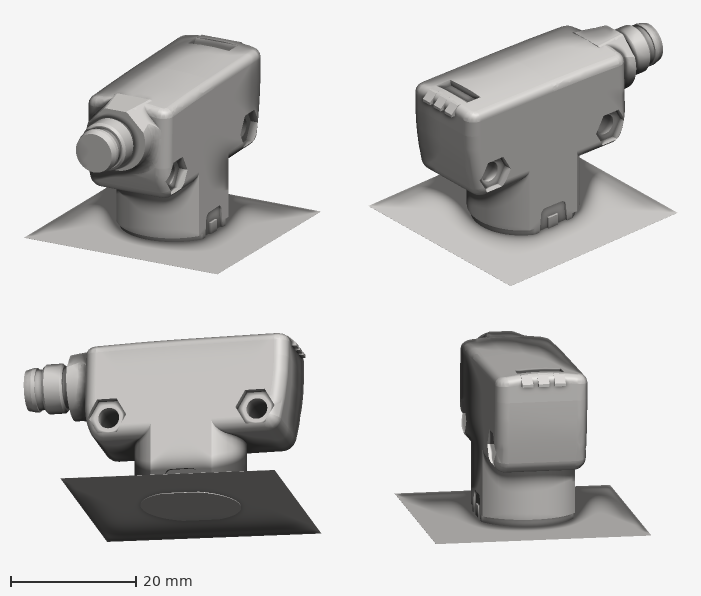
import cadquery as cq
import math


width = 15.0
half_width = width / 2
top_z = 26.48
bottom_z = 10.0
back_y = 17.25
back_bend_z = 22.0
back_lean = (16.75, 16.0)
back_foot_y = 15.5
front_top_y = -15.75
front_bend = (-16.05, 16.0)
front_foot_y = -14.4
crown_radius = 38.0
roof_fall_y = -19.2
roof_drop = 0.55
edge_radius = 2.0
end_radius = 2.4
roof_edge_radius = 1.4
margin = 1.0

hole_y = 12.1
hole_z = 13.67
hole_diameter = 3.4
nut_across_flats = 5.5
nut_depth = 1.5

barrel_radius = 9.0
foot_radius = 8.45
foot_top_z = 1.05
lens_radius = 8.05
lens_depth = 0.1
sheet_side = 35.0
sheet_thickness = 0.03
sheet_tilt = 1.5

latch_top_z = 4.0
latch_top_half = 2.5
latch_bottom_half = 2.9
latch_corner = 1.0
latch_depth = 0.4
tab_half = 1.0
tab_top_z = 1.94

plug_z = 21.0
neck_back_y = -13.2
neck_end_y = -19.2
neck_end_radius = 5.35
neck_root_radius = 5.55
neck_root_y = -15.5
neck_root_tolerance = 0.05
neck_flare = 1.8
ridge_back_half = 2.95
ridge_end_half = 1.8
ridge_back_z = 26.28
ridge_end_z = 25.9
ridge_bevel_width = 0.35
ridge_bevel_drop = 0.12
stem_radius = 3.25
ring_radius = 4.0
ring_chamfer_radius = 3.65
ring_start_y = -20.3
ring_end_y = -23.65
ring_bevel = 0.4
flange_radius = 3.55
flange_start_y = -24.8
flange_taper_y = -25.45
flange_end_radius = 3.25
plug_end_y = -26.6

window_half = 3.83
window_floor_half = 3.47
window_front_y = 12.1
window_back_y = 15.0
window_floor_back_y = 13.47
window_depth = 1.1
window_slope_drop = 0.2
window_slope_top_z = top_z - window_slope_drop

rib_width = 1.75
rib_pitch = 2.65
rib_tip_y = 18.0
rib_tip_z = 24.6
rib_lip = 0.45
rib_shoulder = (16.65, 26.25)
rib_root_y = 15.5
rib_root_top_z = 26.75


def side_prism(profile, half):
    """Extrude a closed YZ outline symmetrically along X."""
    return profile.extrude(half, both=True)


def make_roof_envelope():
    """Space below the crowned roof, which droops towards -Y."""
    reach = half_width + margin
    start_y = back_y + margin
    edge_z = top_z - crown_radius + math.sqrt(crown_radius ** 2 - reach ** 2)
    section = (
        cq.Workplane("XZ", origin=(0, start_y, 0))
        .moveTo(-reach, 0)
        .lineTo(-reach, edge_z)
        .threePointArc((0, top_z), (reach, edge_z))
        .lineTo(reach, 0)
        .close()
    )
    ridge_line = (
        cq.Workplane("YZ")
        .moveTo(start_y, 0)
        .lineTo(0, 0)
        .tangentArcPoint((roof_fall_y, -roof_drop), relative=False)
    )
    return section.sweep(ridge_line)


def make_housing_block():
    """Housing with rounded ends and sides, left square above the roof."""
    cap_z = top_z + margin
    outline = (
        cq.Workplane("YZ")
        .moveTo(front_top_y, cap_z)
        .lineTo(*front_bend)
        .tangentArcPoint((front_foot_y, bottom_z), relative=False)
        .lineTo(back_foot_y, bottom_z)
        .threePointArc(back_lean, (back_y, back_bend_z))
        .lineTo(back_y, cap_z)
        .close()
    )
    block = side_prism(outline, half_width)
    block = block.edges("|X and <Z").fillet(end_radius)
    block = block.faces("<X or >X").edges("not >Z").fillet(edge_radius)
    return block


def make_housing():
    block = make_housing_block().intersect(make_roof_envelope())
    roof_box = cq.selectors.BoxSelector(
        (-half_width, front_top_y, top_z - margin),
        (half_width, back_y, top_z),
    )
    rim = block.faces(roof_box).edges().filter(lambda edge: edge.Center().toTuple()[:2] != (0, 0))
    return rim.fillet(roof_edge_radius)


def tilted(shape):
    """Turn a shape about the X axis so that its +Y side drops with the sheet."""
    return shape.rotate((0, 0, 0), (1, 0, 0), -sheet_tilt)


def make_barrel():
    """Barrel and smaller foot with side flats, cut along the tilted sheet."""
    barrel = (
        cq.Workplane("XY", origin=(0, 0, foot_top_z))
        .circle(barrel_radius)
        .extrude(plug_z - foot_top_z)
    )
    flats_z = foot_top_z - 2 * margin
    low_plane = cq.Workplane("XY", origin=(0, 0, flats_z))
    foot = low_plane.circle(foot_radius).extrude(foot_top_z - flats_z)
    flats = low_plane.rect(width, 2 * barrel_radius).extrude(plug_z)
    below_sheet = tilted(
        cq.Workplane("XY").rect(sheet_side, sheet_side).extrude(-3 * margin)
    )
    return barrel.union(foot).intersect(flats).cut(below_sheet)


def make_sheet():
    """Square sheet with a shallow lens standing out of its underside."""
    sheet = cq.Workplane("XY").rect(sheet_side, sheet_side).extrude(sheet_thickness)
    lens = cq.Workplane("XY").circle(lens_radius).extrude(-lens_depth)
    lens = lens.intersect(cq.Workplane("XY").box(width, sheet_side, width))
    return tilted(sheet.union(lens))


def ridge_section(y, ridge_half, ridge_z):
    """Cross-section at y: flat ridge, narrow bevels, then 45 degree shoulders."""
    bevel_x = ridge_half + ridge_bevel_width
    bevel_z = ridge_z - ridge_bevel_drop
    shoulder = width
    right_side = [
        (ridge_half, ridge_z),
        (bevel_x, bevel_z),
        (bevel_x + shoulder, bevel_z - shoulder),
        (bevel_x + shoulder, 0),
    ]
    left_side = [(-x, z) for x, z in reversed(right_side)]
    return cq.Wire.makePolygon([cq.Vector(x, y, z) for x, z in right_side + left_side], close=True)


def is_neck_root(edge):
    """True for the edges where the neck cone enters the housing."""
    start = edge.startPoint()
    distance = math.hypot(start.x, start.z - plug_z)
    return neck_end_y < start.y < neck_back_y and abs(distance - neck_root_radius) < neck_root_tolerance


def make_neck():
    """Round neck flaring into the housing, its top planed to a narrowing ridge."""
    cone = (
        cq.Workplane("XY", origin=(0, 0, plug_z))
        .moveTo(0, neck_end_y)
        .lineTo(neck_end_radius, neck_end_y)
        .lineTo(neck_root_radius, neck_root_y)
        .lineTo(neck_root_radius, neck_back_y)
        .lineTo(0, neck_back_y)
        .close()
        .revolve(360, (0, 0), (0, 1))
    )
    joined = make_housing_block().union(cone)
    root = joined.edges().filter(is_neck_root)
    neck = root.fillet(neck_flare)
    ridge = cq.Solid.makeLoft(
        [
            ridge_section(neck_back_y, ridge_back_half, ridge_back_z),
            ridge_section(neck_end_y, ridge_end_half, ridge_end_z),
        ],
        True,
    )
    return neck.intersect(cq.Workplane(ridge))


def make_plug():
    """Round stem with a bevelled ring and a tapered end flange."""
    return (
        cq.Workplane("XY", origin=(0, 0, plug_z))
        .moveTo(0, neck_back_y)
        .lineTo(stem_radius, neck_back_y)
        .lineTo(stem_radius, ring_start_y)
        .lineTo(ring_chamfer_radius, ring_start_y)
        .lineTo(ring_radius, ring_start_y - ring_bevel)
        .lineTo(ring_radius, ring_end_y + ring_bevel)
        .lineTo(ring_chamfer_radius, ring_end_y)
        .lineTo(stem_radius, ring_end_y)
        .lineTo(stem_radius, flange_start_y)
        .lineTo(flange_radius, flange_start_y)
        .lineTo(flange_radius, flange_taper_y)
        .lineTo(flange_end_radius, plug_end_y)
        .lineTo(0, plug_end_y)
        .close()
        .revolve(360, (0, 0), (0, 1))
    )


def make_ribs():
    """Three hooked grip ribs; their tops follow the crown of the roof."""
    ribs = cq.Workplane("XY")
    for index in (-1, 0, 1):
        outline = (
            cq.Workplane("YZ", origin=(index * rib_pitch, 0, 0))
            .moveTo(rib_root_y, rib_root_top_z)
            .lineTo(*rib_shoulder)
            .lineTo(rib_tip_y, rib_tip_z + rib_lip)
            .lineTo(rib_tip_y, rib_tip_z)
            .lineTo(rib_root_y, rib_tip_z)
            .close()
        )
        ribs = ribs.union(side_prism(outline, rib_width / 2))
    return ribs.intersect(make_roof_envelope())


def make_window():
    """Pocket with a sloping back wall and drafted ends."""
    floor_z = top_z - window_depth
    opening_z = top_z + margin
    end_slope = (window_half - window_floor_half) / window_depth
    opening_half = window_half + end_slope * margin
    lengthwise = (
        cq.Workplane("YZ")
        .moveTo(window_front_y, floor_z)
        .lineTo(window_floor_back_y, floor_z)
        .lineTo(window_back_y, window_slope_top_z)
        .lineTo(window_back_y, opening_z)
        .lineTo(window_front_y, opening_z)
        .close()
    )
    crosswise = (
        cq.Workplane("XZ")
        .moveTo(-window_floor_half, floor_z)
        .lineTo(window_floor_half, floor_z)
        .lineTo(opening_half, opening_z)
        .lineTo(-opening_half, opening_z)
        .close()
        .extrude(-sheet_side)
    )
    return side_prism(lengthwise, width).intersect(crosswise)


def make_mounting_cutters():
    """Through holes with hexagonal nut pockets sunk into both sides."""
    cutters = cq.Workplane("XY")
    nut_across_corners = nut_across_flats / math.cos(math.pi / 6)
    for y in (-hole_y, hole_y):
        hole = cq.Workplane("YZ", origin=(0, y, hole_z)).circle(hole_diameter / 2)
        cutters = cutters.union(side_prism(hole, width))
        for side in (-1, 1):
            floor_x = side * (half_width - nut_depth)
            nut = (
                cq.Workplane("YZ", origin=(floor_x, y, hole_z))
                .polygon(6, nut_across_corners)
                .extrude(side * 2 * nut_depth)
            )
            cutters = cutters.union(nut)
    return cutters


def make_latch_cutters():
    """Shallow tapering recess around a square tab on each flat."""
    cutters = cq.Workplane("XY")
    base_z = -margin
    for side in (-1, 1):
        floor = cq.Workplane("YZ", origin=(side * (half_width - latch_depth), 0, 0))
        recess = (
            floor
            .moveTo(-latch_bottom_half, 0)
            .lineTo(-latch_top_half, latch_top_z)
            .lineTo(latch_top_half, latch_top_z)
            .lineTo(latch_bottom_half, 0)
            .lineTo(latch_bottom_half, base_z)
            .lineTo(-latch_bottom_half, base_z)
            .close()
            .extrude(side * 2 * latch_depth)
            .edges("|X and >Z")
            .fillet(latch_corner)
        )
        tab = (
            floor
            .moveTo(0, (tab_top_z + base_z) / 2)
            .rect(2 * tab_half, tab_top_z - base_z)
            .extrude(side * 2 * latch_depth)
        )
        cutters = cutters.union(recess.cut(tab))
    return cutters


body = make_housing()
for addition in (make_barrel(), make_neck(), make_plug(), make_ribs()):
    body = body.union(addition)
for cutter in (make_window(), make_mounting_cutters(), make_latch_cutters()):
    body = body.cut(cutter)
result = body.union(make_sheet())